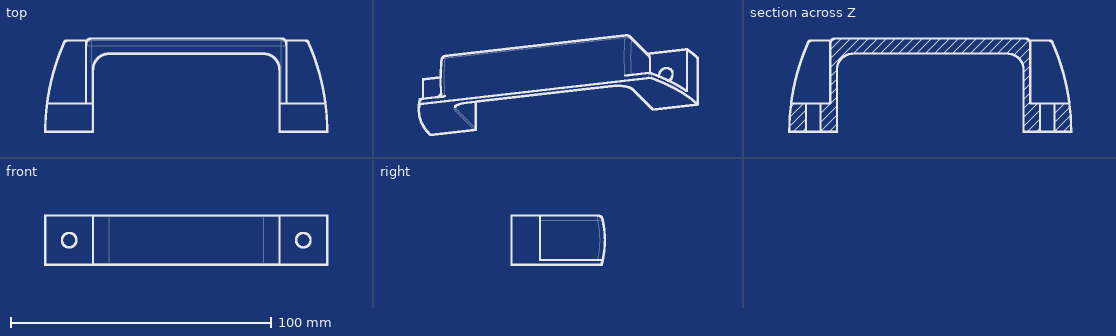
import cadquery as cq
import math

overall_length = 108.5
height = 19.0
reach = 36.0
grip_opening = 71.5
leg_thickness = 2.75
grip_thickness = 6.0
inner_corner_radius = 6.0
crown_radius = 35.0

foot_depth = 11.0
wing_thickness = 1.9
flank_radius = 85.0

outer_edge_radius = 2.0
inner_edge_radius = 0.5
wing_tip_radius = 1.0

hole_spacing = 90.0
hole_diameter = 5.5

half_length = overall_length / 2
half_opening = grip_opening / 2
half_grip = half_opening + leg_thickness
half_spacing = hole_spacing / 2
mid_height = height / 2
inner_reach = reach - grip_thickness


def arc_sagitta(radius, offset):
    """Drop of an arc from its tangent line at a given offset from the tangent point."""
    return radius - math.sqrt(radius**2 - offset**2)


def block(length, depth, block_height):
    """Box centered on x = 0, starting at y = 0 and z = 0."""
    return cq.Workplane("XY").box(length, depth, block_height, centered=(True, False, False))


def make_plan(thickness):
    """Full plan outline with curved ends, extruded up from z = 0."""
    tip_x = half_length - arc_sagitta(flank_radius, reach)
    middle_x = half_length - arc_sagitta(flank_radius, reach / 2)
    return (
        cq.Workplane("XY")
        .moveTo(-half_length, 0)
        .lineTo(half_length, 0)
        .threePointArc((middle_x, reach / 2), (tip_x, reach))
        .lineTo(-tip_x, reach)
        .threePointArc((-middle_x, reach / 2), (-half_length, 0))
        .close()
        .extrude(thickness)
    )


def make_crown():
    """Envelope whose +Y face bulges as an arc over the height."""
    edge_reach = reach - arc_sagitta(crown_radius, mid_height)
    return (
        cq.Workplane("YZ")
        .lineTo(edge_reach, 0)
        .threePointArc((reach, mid_height), (edge_reach, height))
        .lineTo(0, height)
        .close()
        .extrude(half_length, both=True)
    )


def make_grip():
    """Crowned block for the U-shaped grip, its outer corners and upper edges rounded."""
    grip = block(2 * half_grip, reach, height).intersect(make_crown())
    top_edges = grip.faces(">Z").edges("not <Y")
    corner_edges = grip.faces("<X or >X").edges(">Y")
    return top_edges.add(corner_edges).fillet(outer_edge_radius)


def make_wings():
    """Thin base plate with its far corners rounded."""
    plate = make_plan(wing_thickness).intersect(make_crown())
    tip_edges = plate.edges(">>Y[-2]")
    return tip_edges.fillet(wing_tip_radius)


def make_feet():
    """Full-height end blocks, still joined across the opening."""
    return make_plan(height).intersect(block(overall_length, foot_depth, height))


def make_opening():
    """Space between the legs, with rounded inner corners."""
    return block(grip_opening, inner_reach, height).edges("|Z and >Y").fillet(inner_corner_radius)


def make_holes():
    """Mounting holes along Y through both feet."""
    return (
        cq.Workplane("XZ")
        .pushPoints([(-half_spacing, mid_height), (half_spacing, mid_height)])
        .circle(hole_diameter / 2)
        .extrude(-foot_depth)
    )


def round_opening_rims(body):
    """Round the upper and lower rims of the grip opening."""
    margin = inner_edge_radius / 2
    opening_zone = cq.selectors.BoxSelector(
        (-half_opening - margin, -margin, -margin),
        (half_opening + margin, inner_reach + margin, height + margin),
    )
    rims = body.edges("<Z or >Z").edges(opening_zone)
    return rims.fillet(inner_edge_radius)


body = make_grip().union(make_wings()).union(make_feet())
body = body.cut(make_opening())
result = round_opening_rims(body).cut(make_holes())